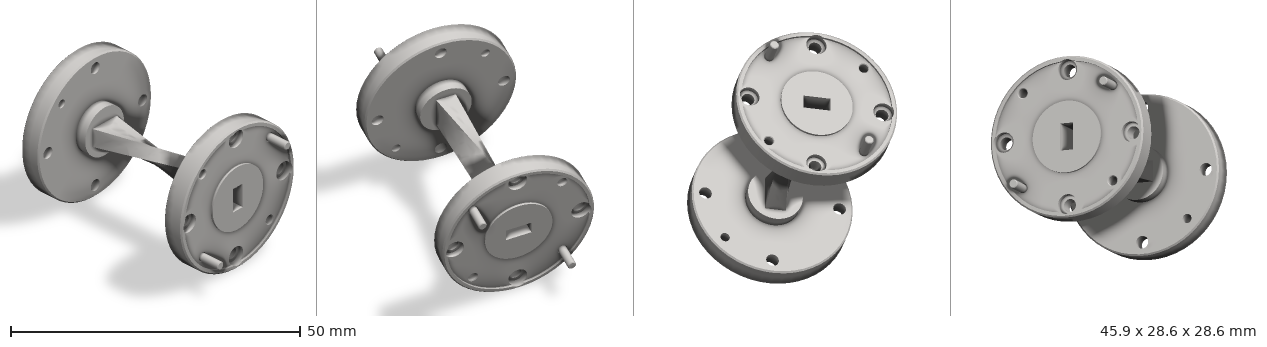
import cadquery as cq

OVERALL_LENGTH = 45.85
PIN_PROJECTION = 3.85
FLANGE_THICKNESS = 4.13
HUB_LENGTH = 2.25

FLANGE_DIAMETER = 28.55
FLANGE_CHAMFER = 0.28
HUB_DIAMETER = 9.7
RECESS_OUTER_DIAMETER = 26.78
RECESS_INNER_DIAMETER = 12.7
RECESS_DEPTH = 0.45

BOLT_CIRCLE_DIAMETER = 23.8
SCREW_HOLE_DIAMETER = 2.25
COUNTERBORE_DIAMETER = 3.58
COUNTERBORE_DEPTH = 1.5
PIN_DIAMETER = 1.55
PIN_CHAMFER = 0.15
ALIGNMENT_HOLE_DIAMETER = 1.65
HOLE_MOUTH_CHAMFER = 0.15

BORE_WIDTH = 4.75
BORE_HEIGHT = 2.4
TUBE_WIDTH = 6.0
TUBE_HEIGHT = 3.65

PIN_TIP_X = OVERALL_LENGTH / 2
FLANGE_FACE_X = PIN_TIP_X - PIN_PROJECTION
RECESS_FLOOR_X = FLANGE_FACE_X - RECESS_DEPTH
FLANGE_BACK_X = FLANGE_FACE_X - FLANGE_THICKNESS
HUB_END_X = FLANGE_BACK_X - HUB_LENGTH

SCREW_HOLE_ANGLES = (0, 90, 180, 270)
PIN_ANGLES = (45, 225)
ALIGNMENT_HOLE_ANGLES = (135, 315)


def disc(diameter, start_x, end_x):
    """Cylinder on the X axis between two X positions."""
    return cq.Workplane("YZ", origin=(start_x, 0, 0)).circle(diameter / 2).extrude(end_x - start_x)


def on_bolt_circle(body, angles):
    """Copies of a body from the X axis, moved out to each angle on the bolt circle."""
    moved = body.translate((0, BOLT_CIRCLE_DIAMETER / 2, 0))
    return [moved.rotate((0, 0, 0), (1, 0, 0), angle) for angle in angles]


def mirrored(body):
    """The same body at the other end of the part."""
    return body.mirror("YZ")


def make_screw_hole():
    """Counterbored through hole, on the X axis."""
    bore = disc(SCREW_HOLE_DIAMETER, FLANGE_BACK_X, FLANGE_FACE_X)
    counterbore = disc(COUNTERBORE_DIAMETER, FLANGE_FACE_X - COUNTERBORE_DEPTH, FLANGE_FACE_X)
    return bore.union(counterbore)


def make_chamfered_hole(diameter):
    """Through hole that opens with a small chamfer on the recess floor."""
    bore = disc(diameter, FLANGE_BACK_X, RECESS_FLOOR_X)
    mouth = cq.Solid.makeCone(
        diameter / 2 + HOLE_MOUTH_CHAMFER,
        diameter / 2,
        HOLE_MOUTH_CHAMFER,
        pnt=cq.Vector(RECESS_FLOOR_X, 0, 0),
        dir=cq.Vector(-1, 0, 0),
    )
    return bore.union(cq.Workplane(obj=mouth))


def make_flange():
    """Flange at the +X end: chamfered disc with hub, annular face recess and holes."""
    flange = disc(FLANGE_DIAMETER, FLANGE_BACK_X, FLANGE_FACE_X).edges().chamfer(FLANGE_CHAMFER)
    flange = flange.union(disc(HUB_DIAMETER, HUB_END_X, FLANGE_BACK_X))
    recess = disc(RECESS_OUTER_DIAMETER, RECESS_FLOOR_X, FLANGE_FACE_X)
    recess = recess.cut(disc(RECESS_INNER_DIAMETER, RECESS_FLOOR_X, FLANGE_FACE_X))
    flange = flange.cut(recess)
    holes = [
        *on_bolt_circle(make_screw_hole(), SCREW_HOLE_ANGLES),
        *on_bolt_circle(make_chamfered_hole(ALIGNMENT_HOLE_DIAMETER), ALIGNMENT_HOLE_ANGLES),
        *on_bolt_circle(make_chamfered_hole(PIN_DIAMETER), PIN_ANGLES),
    ]
    for hole in holes:
        flange = flange.cut(hole)
    return flange


def make_pin():
    """Pin that fills its hole flush with the flange back and has a chamfered tip."""
    pin = disc(PIN_DIAMETER, FLANGE_BACK_X, PIN_TIP_X)
    return pin.faces(">X").chamfer(PIN_CHAMFER)


def rectangle_corners(x, half_y, half_z):
    """Corners of a rectangle centred on the X axis, in order around it."""
    return [
        cq.Vector(x, -half_y, -half_z),
        cq.Vector(x, half_y, -half_z),
        cq.Vector(x, half_y, half_z),
        cq.Vector(x, -half_y, half_z),
    ]


def make_quarter_twist(width, height):
    """Solid bar whose rectangular section turns by 90 degrees between the hubs, with ruled sides."""
    start = rectangle_corners(-HUB_END_X, width / 2, height / 2)
    end = [cq.Vector(HUB_END_X, corner.z, -corner.y) for corner in start]
    faces = []
    for i in range(len(start)):
        start_edge = cq.Edge.makeLine(start[i - 1], start[i])
        end_edge = cq.Edge.makeLine(end[i - 1], end[i])
        faces.append(cq.Face.makeRuledSurface(start_edge, end_edge))
    for corners in (start, end):
        faces.append(cq.Face.makeFromWires(cq.Wire.makePolygon(corners, close=True)))
    return cq.Workplane(obj=cq.Solid.makeSolid(cq.Shell.makeShell(faces)))


def make_straight_bore(size_y, size_z, start_x, end_x):
    return cq.Workplane("YZ", origin=(start_x, 0, 0)).rect(size_y, size_z).extrude(end_x - start_x)


def make_waveguide():
    """Twisted tube with a flange at each end and a rectangular bore right through."""
    flange = make_flange()
    waveguide = make_quarter_twist(TUBE_WIDTH, TUBE_HEIGHT).union(flange).union(mirrored(flange))
    waveguide = waveguide.cut(make_quarter_twist(BORE_WIDTH, BORE_HEIGHT))
    waveguide = waveguide.cut(make_straight_bore(BORE_WIDTH, BORE_HEIGHT, -FLANGE_FACE_X, -HUB_END_X))
    waveguide = waveguide.cut(make_straight_bore(BORE_HEIGHT, BORE_WIDTH, HUB_END_X, FLANGE_FACE_X))
    return waveguide


pins = []
for pin in on_bolt_circle(make_pin(), PIN_ANGLES):
    pins.append(pin)
    pins.append(mirrored(pin))

waveguide = make_waveguide()

bodies = [waveguide, *pins]
result = cq.Compound.makeCompound([body.solids().val() for body in bodies])